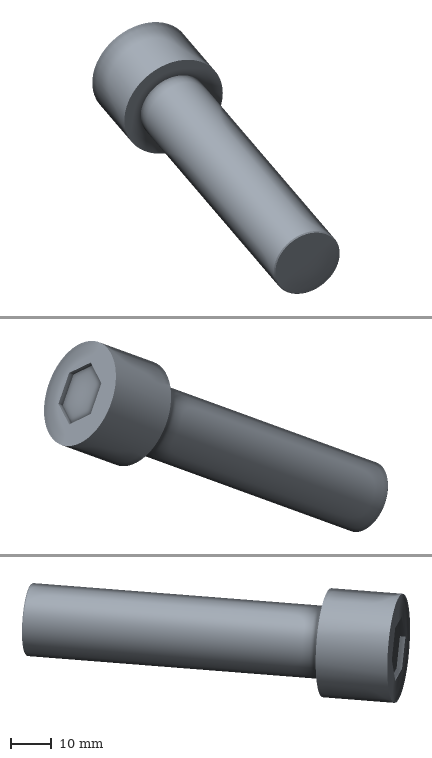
import cadquery as cq
import math

total_length = 93.0
head_diameter = 27.0
shank_diameter = 18.0
head_length = shank_diameter
tip_chamfer = 0.3
socket_across_flats = 13.95
socket_depth = 1.4


def make_head():
    return cq.Workplane("YZ").circle(head_diameter / 2).extrude(head_length)


def make_shank():
    shank = cq.Workplane("YZ").circle(shank_diameter / 2).extrude(total_length)
    return shank.faces(">X").chamfer(tip_chamfer)


def make_socket():
    across_corners = socket_across_flats / math.cos(math.pi / 6)
    return cq.Workplane("YZ").polygon(6, across_corners).extrude(socket_depth)


result = make_head().union(make_shank()).cut(make_socket())